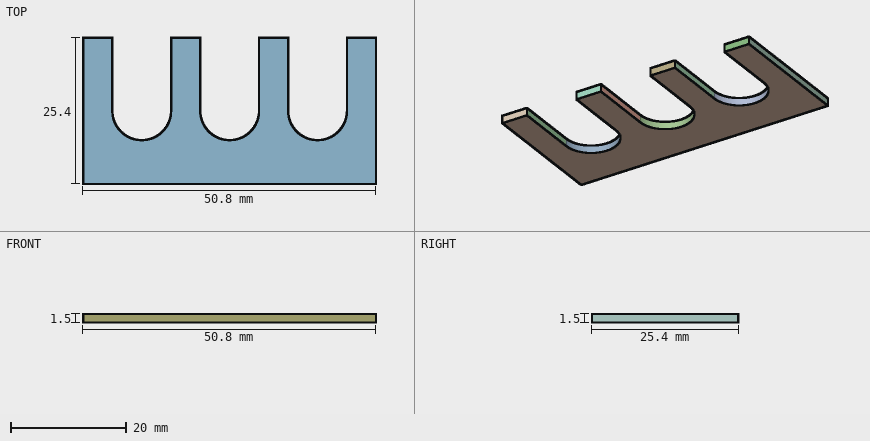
import cadquery as cq

length = 50.8
width = 25.4
thickness = 1.5
slot_count = 3
slot_floor = 7.62

finger_width = 5.08

finger_count = slot_count + 1
slot_width = (length - finger_count * finger_width) / slot_count
slot_radius = slot_width / 2
slot_pitch = finger_width + slot_width

front_edge_y = -width / 2
back_edge_y = width / 2
slot_center_y = front_edge_y + slot_floor + slot_radius


def make_plate():
    """Flat rectangular plate centred on the origin."""
    return cq.Workplane("XY").box(length, width, thickness)


def make_slot(center_x):
    """Round-bottomed slot, open at the +Y edge and cut through the plate."""
    left_x = center_x - slot_radius
    right_x = center_x + slot_radius
    return (
        cq.Workplane("XY")
        .moveTo(left_x, back_edge_y)
        .lineTo(left_x, slot_center_y)
        .threePointArc((center_x, slot_center_y - slot_radius), (right_x, slot_center_y))
        .lineTo(right_x, back_edge_y)
        .close()
        .extrude(thickness, both=True)
    )


result = make_plate()
for index in range(slot_count):
    slot_x = (index - (slot_count - 1) / 2) * slot_pitch
    result = result.cut(make_slot(slot_x))